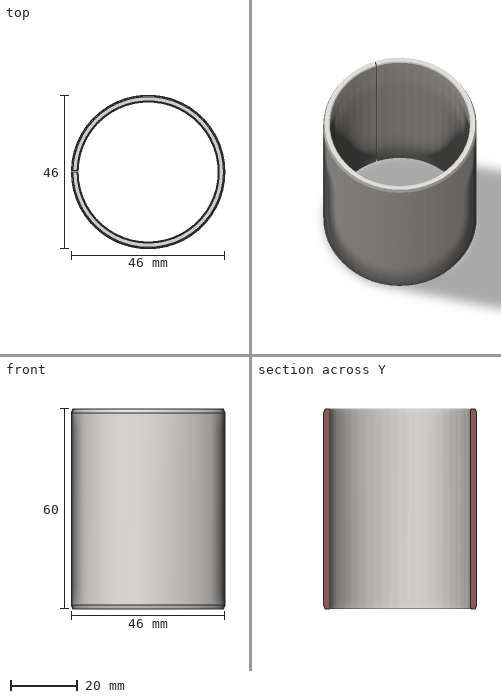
import cadquery as cq
import math

outer_diameter = 46.0
inner_diameter = 42.0
length = 60.0

outer_chamfer_height = 1.2
outer_chamfer_angle = 20.0

bore_chamfer = 0.3

split_width = 0.4

outer_radius = outer_diameter / 2
inner_radius = inner_diameter / 2
outer_chamfer_depth = outer_chamfer_height * math.tan(math.radians(outer_chamfer_angle))


def make_sleeve():
    """Revolve the wall section, with its end chamfers, about Z."""
    bottom = -length / 2
    top = length / 2
    end_inner_radius = inner_radius + bore_chamfer
    end_outer_radius = outer_radius - outer_chamfer_depth
    section = [
        (end_inner_radius, bottom),
        (end_outer_radius, bottom),
        (outer_radius, bottom + outer_chamfer_height),
        (outer_radius, top - outer_chamfer_height),
        (end_outer_radius, top),
        (end_inner_radius, top),
        (inner_radius, top - bore_chamfer),
        (inner_radius, bottom + bore_chamfer),
    ]
    return cq.Workplane("XZ").polyline(section).close().revolve(360, (0, 0), (0, 1))


def make_split():
    """Full-length slab from the axis out to the -X wall, with one face on the XZ plane."""
    slab = cq.Workplane("XY").box(outer_radius, split_width, length)
    return slab.translate((-outer_radius / 2, split_width / 2, 0))


result = make_sleeve().cut(make_split())